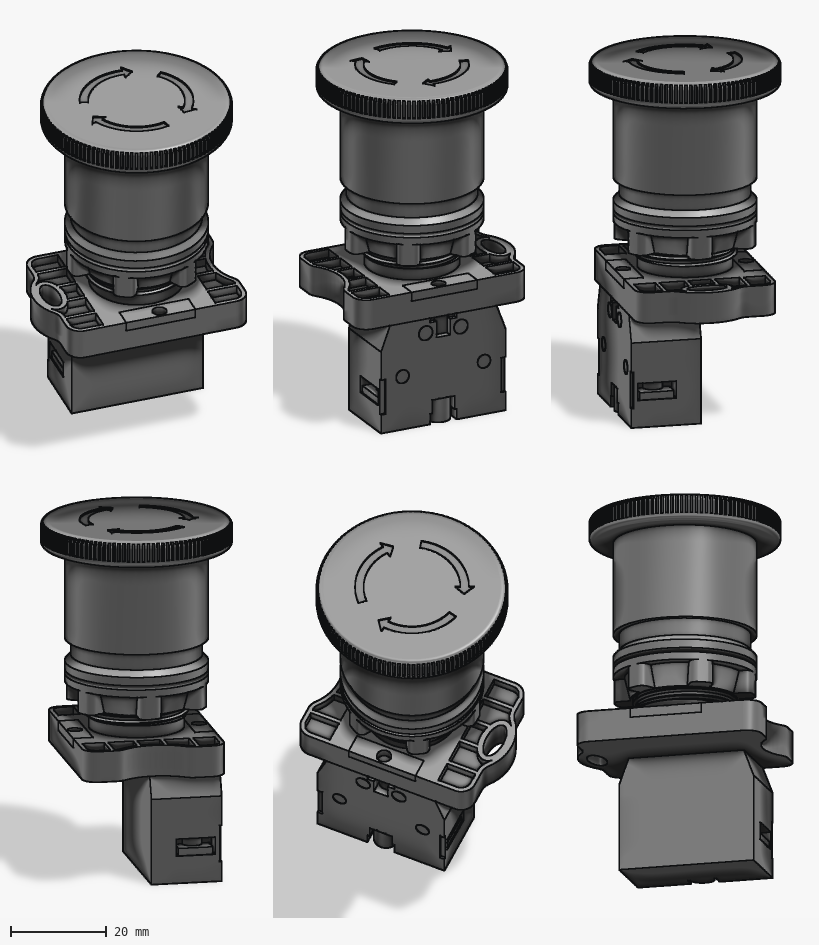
import cadquery as cq
import math


TOTAL_HEIGHT = 75.0
BLOCK_TOP = 23.9
FLANGE_TOP = 30.5
THREAD_BOTTOM = 33.1
NUT_BOTTOM = 35.6
NUT_RING_BOTTOM = 40.4
NUT_TOP = 42.0
COLLAR_BOTTOM = 42.9
COLLAR_EDGE_TOP = 44.7
COLLAR_TOP = 46.0
HEAD_BOTTOM = 49.6
CAP_BOTTOM = 69.4

BARREL_RADIUS = 15.0
CAP_RADIUS = 20.0
CAP_TOP_FILLET = 1.5
CAP_BOTTOM_FILLET = 1.1
KNURL_COUNT = 120
KNURL_GROOVE_DEPTH = 0.45
KNURL_GROOVE_WIDTH = 0.5
KNURL_BOTTOM = CAP_BOTTOM + 1.4
ARROW_COUNT = 3
ARROW_DEPTH = 0.3
ARROW_INNER_RADIUS = 10.1
ARROW_OUTER_RADIUS = 11.9
ARROW_HEAD_OVERHANG = 1.1
ARROW_TAIL_ANGLE = 135.0
ARROW_HEAD_BASE_ANGLE = 55.0
ARROW_TIP_ANGLE = 45.0

SPIGOT_RADIUS = 13.75
NECK_RADIUS = 10.9
CORE_RADIUS = 10.0
THREAD_PITCH = 1.5
THREAD_ROOT_RADIUS = 10.25
THREAD_RIDGE_WIDTH = 1.1
THREAD_ROOT_OVERLAP = 0.2
THREAD_START = THREAD_BOTTOM + 0.45

NUT_RADIUS = BARREL_RADIUS
NUT_CONE_TOP_RADIUS = 12.6
NUT_CONE_BOTTOM_RADIUS = 11.4
LUG_COUNT = 6
TRIM_RADIUS = NUT_RADIUS + 1.0
LUG_WIDTH = 4.8
LUG_NOSE_WIDTH = 2.1
LUG_FLANK_END = 13.5

FLANGE_HALF_WIDTH = 15.1
FLANGE_HALF_LENGTH = 19.85
FLANGE_CORNER_RADIUS = 3.15
EAR_RADIUS = 10.5
EAR_TIP = 22.82
EAR_HOLE_Y = -19.0
EAR_HOLE_HALF_WIDTH = 4.2
EAR_HOLE_HALF_HEIGHT = 1.9
EAR_HOLE_WALL = 1.3
FLANGE_WALL = 1.0
POCKET_DEPTH = 1.8
POCKET_INNER_Y = 12.4
RIB_THICKNESS = 0.9
INNER_RIB_X = 2.85
OUTER_RIB_X = 9.05

INSERT_LENGTH = 15.3
INSERT_WIDTH = 4.25
INSERT_THICKNESS = 2.0
INSERT_HOLE_DIAMETER = 3.0
INSERT_HOLE_X = 13.2
INSERT_HOLE_Y = 0.4

BLOCK_LEFT = -15.1
BLOCK_WIDTH = 15.0
BLOCK_LENGTH = 29.1
BLOCK_CENTRE_Y = 0.25
BLOCK_SLOPE_BOTTOM = 18.35
BLOCK_SLOPE_INSET = 2.1
DIMPLE_DEPTH = 0.1
UPPER_DIMPLES = {"diameter": 3.2, "offset": 4.1, "height": 20.7}
LOWER_DIMPLES = {"diameter": 3.0, "offset": 9.5, "height": 11.9}
EDGE_NOTCH_DEPTH_X = 0.5
EDGE_NOTCH_DEPTH_Y = 1.1
EDGE_NOTCH_BOTTOM = 4.2
EDGE_NOTCH_TOP = 12.0
MOUTH_WIDTH = 6.2
MOUTH_DEPTH = 1.0
UPPER_MOUTH_HEIGHT = 1.0
UPPER_SLOT_WIDTH = 3.2
UPPER_SLOT_BOTTOM = 19.3
UPPER_SLOT_DEPTH = 1.5
LOWER_MOUTH_HEIGHT = 2.4
LOWER_SLOT_WIDTH = 5.2
LOWER_SLOT_HEIGHT = 5.4
TERMINAL_X = -9.55
TERMINAL_WIDTH = 8.3
TERMINAL_BOTTOM = 5.85
TERMINAL_TOP = 9.55
TERMINAL_DEPTH = 4.0
TONGUE_TOP = 7.45
TONGUE_SETBACK = 0.25
TONGUE_SIDE_GAP = 0.5
TERMINAL_SCREW_RADIUS = 2.1


def box(x_min, x_max, y_min, y_max, z_min, z_max):
    size = (x_max - x_min, y_max - y_min, z_max - z_min)
    return cq.Workplane("XY").box(*size, centered=False).translate((x_min, y_min, z_min))


def cylinder(radius, bottom, top, x=0.0, y=0.0):
    return cq.Workplane("XY", origin=(x, y, bottom)).circle(radius).extrude(top - bottom)


def polar(radius, angle):
    return radius * math.cos(math.radians(angle)), radius * math.sin(math.radians(angle))


def make_arrow():
    """Curved clockwise arrow, as a cutter from the top face of the cap."""
    middle_angle = (ARROW_TAIL_ANGLE + ARROW_HEAD_BASE_ANGLE) / 2
    tip_radius = (ARROW_INNER_RADIUS + ARROW_OUTER_RADIUS) / 2
    return (
        cq.Workplane("XY", origin=(0, 0, TOTAL_HEIGHT))
        .moveTo(*polar(ARROW_OUTER_RADIUS, ARROW_TAIL_ANGLE))
        .threePointArc(
            polar(ARROW_OUTER_RADIUS, middle_angle), polar(ARROW_OUTER_RADIUS, ARROW_HEAD_BASE_ANGLE)
        )
        .lineTo(*polar(ARROW_OUTER_RADIUS + ARROW_HEAD_OVERHANG, ARROW_HEAD_BASE_ANGLE))
        .lineTo(*polar(tip_radius, ARROW_TIP_ANGLE))
        .lineTo(*polar(ARROW_INNER_RADIUS - ARROW_HEAD_OVERHANG, ARROW_HEAD_BASE_ANGLE))
        .lineTo(*polar(ARROW_INNER_RADIUS, ARROW_HEAD_BASE_ANGLE))
        .threePointArc(
            polar(ARROW_INNER_RADIUS, middle_angle), polar(ARROW_INNER_RADIUS, ARROW_TAIL_ANGLE)
        )
        .close()
        .extrude(-ARROW_DEPTH)
    )


def make_head():
    cap = cylinder(CAP_RADIUS, CAP_BOTTOM, TOTAL_HEIGHT)
    cap = cap.faces(">Z").edges().fillet(CAP_TOP_FILLET)
    cap = cap.faces("<Z").edges().fillet(CAP_BOTTOM_FILLET)
    grooves = (
        cq.Workplane("XY", origin=(0, 0, KNURL_BOTTOM))
        .polarArray(CAP_RADIUS, 180 / KNURL_COUNT, 360, KNURL_COUNT)
        .rect(2 * KNURL_GROOVE_DEPTH, KNURL_GROOVE_WIDTH)
        .extrude(TOTAL_HEIGHT - KNURL_BOTTOM)
    )
    cap = cap.cut(grooves)
    for index in range(ARROW_COUNT):
        turn = index * 360 / ARROW_COUNT
        cap = cap.cut(make_arrow().rotate((0, 0, 0), (0, 0, 1), turn))
    return cap.union(cylinder(BARREL_RADIUS, HEAD_BOTTOM, CAP_BOTTOM))


def make_thread():
    """Helical V ridge around the neck; it runs out at the bottom and ends inside the nut."""
    half_width = THREAD_RIDGE_WIDTH / 2
    root_radius = THREAD_ROOT_RADIUS - THREAD_ROOT_OVERLAP
    start = THREAD_START - THREAD_PITCH
    helix = cq.Wire.makeHelix(THREAD_PITCH, NUT_TOP - half_width - start, THREAD_ROOT_RADIUS)
    ridge = (
        cq.Workplane("XZ")
        .moveTo(root_radius, -half_width)
        .lineTo(NECK_RADIUS, 0)
        .lineTo(root_radius, half_width)
        .close()
        .sweep(cq.Workplane(helix), isFrenet=True)
        .translate((0, 0, start))
    )
    return ridge.intersect(cylinder(BARREL_RADIUS, THREAD_BOTTOM, NUT_TOP))


def make_housing():
    profile = [
        (0, FLANGE_TOP),
        (CORE_RADIUS, FLANGE_TOP),
        (CORE_RADIUS, THREAD_BOTTOM),
        (THREAD_ROOT_RADIUS, THREAD_BOTTOM),
        (THREAD_ROOT_RADIUS, NUT_TOP),
        (NECK_RADIUS, NUT_TOP),
        (NECK_RADIUS, COLLAR_BOTTOM),
        (BARREL_RADIUS, COLLAR_BOTTOM),
        (BARREL_RADIUS, COLLAR_EDGE_TOP),
        (SPIGOT_RADIUS, COLLAR_TOP),
        (SPIGOT_RADIUS, HEAD_BOTTOM),
        (0, HEAD_BOTTOM),
    ]
    turned = cq.Workplane("XZ").polyline(profile).close().revolve(360, (0, 0), (0, 1))
    return turned.union(make_thread())


def make_lug(index):
    """Lug with parallel flanks rounded at the nose; it runs past the ring, to be trimmed by it."""
    half_width = LUG_WIDTH / 2
    nose_y = LUG_NOSE_WIDTH / 2
    nose_x = math.sqrt(NUT_RADIUS**2 - nose_y**2)
    lug = (
        cq.Workplane("XY", origin=(0, 0, NUT_BOTTOM))
        .lineTo(0, half_width)
        .lineTo(LUG_FLANK_END, half_width)
        .tangentArcPoint((nose_x, nose_y), relative=False)
        .lineTo(TRIM_RADIUS, nose_y)
        .lineTo(TRIM_RADIUS, 0)
        .mirrorX()
        .extrude(NUT_RING_BOTTOM - NUT_BOTTOM)
    )
    return lug.rotate((0, 0, 0), (0, 0, 1), 90 + index * 360 / LUG_COUNT)


def make_nut():
    """Disc with the space around the skirt and between the lugs cut away."""
    profile = [
        (NUT_CONE_BOTTOM_RADIUS, NUT_BOTTOM),
        (NUT_CONE_TOP_RADIUS, NUT_RING_BOTTOM),
        (TRIM_RADIUS, NUT_RING_BOTTOM),
        (TRIM_RADIUS, NUT_BOTTOM),
    ]
    lug_gaps = cq.Workplane("XZ").polyline(profile).close().revolve(360, (0, 0), (0, 1))
    for index in range(LUG_COUNT):
        lug_gaps = lug_gaps.cut(make_lug(index))
    nut = cylinder(NUT_RADIUS, NUT_BOTTOM, NUT_TOP).cut(lug_gaps)
    return nut.cut(cylinder(NECK_RADIUS, NUT_BOTTOM, NUT_TOP))


def ear_wave(outline, edge_y, direction):
    """Blend, ear arc and blend, drawn from x = -direction * half width to the other side."""
    reach = EAR_TIP - FLANGE_HALF_LENGTH
    centre_gap = EAR_RADIUS + FLANGE_CORNER_RADIUS
    half_width = math.sqrt(centre_gap**2 - (centre_gap - reach) ** 2)
    sweep = math.asin(half_width / centre_gap)
    join_x = EAR_RADIUS * math.sin(sweep)
    join_y = edge_y - reach + EAR_RADIUS * (1 - math.cos(sweep))
    blend_x = half_width - FLANGE_CORNER_RADIUS * math.sin(sweep / 2)
    blend_y = edge_y - FLANGE_CORNER_RADIUS * (1 - math.cos(sweep / 2))
    return (
        outline.lineTo(-direction * half_width, edge_y)
        .threePointArc((-direction * blend_x, blend_y), (-direction * join_x, join_y))
        .threePointArc((0, edge_y - reach), (direction * join_x, join_y))
        .threePointArc((direction * blend_x, blend_y), (direction * half_width, edge_y))
    )


def flange_outline(base):
    x, y, r = FLANGE_HALF_WIDTH, FLANGE_HALF_LENGTH, FLANGE_CORNER_RADIUS
    outline = cq.Workplane("XY", origin=(0, 0, base)).moveTo(-x + r, -y)
    outline = ear_wave(outline, -y, 1)
    outline = outline.lineTo(x - r, -y).radiusArc((x, -y + r), -r)
    outline = outline.lineTo(x, y - r).radiusArc((x - r, y), -r)
    outline = ear_wave(outline, y, -1)
    outline = outline.lineTo(-x + r, y).radiusArc((-x, y - r), -r)
    return outline.lineTo(-x, -y + r).radiusArc((-x + r, -y), -r).close()


def ear_ellipse(wall, base):
    centre = cq.Workplane("XY", origin=(0, EAR_HOLE_Y, base))
    ellipse = centre.ellipse(EAR_HOLE_HALF_WIDTH + wall, EAR_HOLE_HALF_HEIGHT + wall)
    return ellipse.extrude(FLANGE_TOP - base)


def make_pockets():
    """Rows of pockets along both Y ends, divided by ribs, as a cutter."""
    floor = FLANGE_TOP - POCKET_DEPTH
    pockets = flange_outline(floor).offset2D(-FLANGE_WALL).extrude(POCKET_DEPTH)
    x = FLANGE_HALF_WIDTH
    pockets = pockets.cut(box(-x, x, -POCKET_INNER_Y, POCKET_INNER_Y, floor, FLANGE_TOP))
    for rib_x in (-OUTER_RIB_X, -INNER_RIB_X, INNER_RIB_X, OUTER_RIB_X):
        left, right = rib_x - RIB_THICKNESS / 2, rib_x + RIB_THICKNESS / 2
        pockets = pockets.cut(box(left, right, -EAR_TIP, EAR_TIP, floor, FLANGE_TOP))
    return pockets.cut(ear_ellipse(EAR_HOLE_WALL, floor))


def insert_blank(side):
    inner, outer = FLANGE_HALF_WIDTH - INSERT_WIDTH, FLANGE_HALF_WIDTH
    x_min, x_max = sorted((side * inner, side * outer))
    y = INSERT_LENGTH / 2
    return box(x_min, x_max, -y, y, FLANGE_TOP - INSERT_THICKNESS, FLANGE_TOP)


def make_flange():
    flange = flange_outline(BLOCK_TOP).extrude(FLANGE_TOP - BLOCK_TOP)
    flange = flange.cut(make_pockets()).cut(ear_ellipse(0, BLOCK_TOP))
    for side in (-1, 1):
        flange = flange.cut(insert_blank(side))
    return flange


def make_insert(side):
    floor = FLANGE_TOP - INSERT_THICKNESS
    hole_x = side * INSERT_HOLE_X
    hole = cylinder(INSERT_HOLE_DIAMETER / 2, floor, FLANGE_TOP, x=hole_x, y=INSERT_HOLE_Y)
    return insert_blank(side).cut(hole)


def block_body():
    half = BLOCK_LENGTH / 2
    profile = [
        (-half, 0),
        (half, 0),
        (half, BLOCK_SLOPE_BOTTOM),
        (half - BLOCK_SLOPE_INSET, BLOCK_TOP),
        (-half + BLOCK_SLOPE_INSET, BLOCK_TOP),
        (-half, BLOCK_SLOPE_BOTTOM),
    ]
    return cq.Workplane("YZ", origin=(BLOCK_LEFT, 0, 0)).polyline(profile).close().extrude(BLOCK_WIDTH)


def dimples(diameter, offset, height):
    centres = [(-offset, height), (offset, height)]
    face = cq.Workplane("YZ", origin=(BLOCK_LEFT, 0, 0))
    return face.pushPoints(centres).circle(diameter / 2).extrude(DIMPLE_DEPTH)


def recess(width, depth, bottom, top):
    return box(BLOCK_LEFT, BLOCK_LEFT + depth, -width / 2, width / 2, bottom, top)


def upper_slot():
    """Slot under the flange; one half of its back wall is rounded off into a deeper corner."""
    radius = UPPER_SLOT_WIDTH / 2
    back = BLOCK_LEFT + UPPER_SLOT_DEPTH
    slot = recess(UPPER_SLOT_WIDTH, UPPER_SLOT_DEPTH, UPPER_SLOT_BOTTOM, BLOCK_TOP)
    corner = box(back, back + radius, 0, radius, UPPER_SLOT_BOTTOM, BLOCK_TOP)
    corner = corner.cut(cylinder(radius, UPPER_SLOT_BOTTOM, BLOCK_TOP, x=back + radius))
    mouth = recess(MOUTH_WIDTH, MOUTH_DEPTH, BLOCK_TOP - UPPER_MOUTH_HEIGHT, BLOCK_TOP)
    return slot.union(corner).union(mouth)


def lower_slot():
    """Slot at the foot, around a half-round post that reaches the side face."""
    radius = LOWER_SLOT_WIDTH / 2
    slot = recess(LOWER_SLOT_WIDTH, radius, 0, LOWER_SLOT_HEIGHT)
    mouth = recess(MOUTH_WIDTH, radius, 0, LOWER_MOUTH_HEIGHT)
    return slot.union(mouth).cut(cylinder(radius, 0, LOWER_SLOT_HEIGHT, x=BLOCK_LEFT + radius))


def terminal():
    """Terminal opening in the -Y face, around a set-back tongue and a half-round screw."""
    face = -BLOCK_LENGTH / 2
    back = face + TERMINAL_DEPTH
    left, right = TERMINAL_X - TERMINAL_WIDTH / 2, TERMINAL_X + TERMINAL_WIDTH / 2
    opening = box(left, right, face, back, TERMINAL_BOTTOM, TERMINAL_TOP)
    tongue_left, tongue_right = left + TONGUE_SIDE_GAP, right - TONGUE_SIDE_GAP
    tongue_face = face + TONGUE_SETBACK
    tongue = box(tongue_left, tongue_right, tongue_face, back, TERMINAL_BOTTOM, TONGUE_TOP)
    screw = cylinder(TERMINAL_SCREW_RADIUS, TONGUE_TOP, TERMINAL_TOP, x=TERMINAL_X, y=back)
    return opening.cut(tongue).cut(screw)


def edge_notch():
    face = -BLOCK_LENGTH / 2
    return box(
        BLOCK_LEFT, BLOCK_LEFT + EDGE_NOTCH_DEPTH_X,
        face, face + EDGE_NOTCH_DEPTH_Y,
        EDGE_NOTCH_BOTTOM, EDGE_NOTCH_TOP,
    )


def make_block():
    block = block_body().cut(upper_slot()).cut(lower_slot())
    block = block.cut(dimples(**UPPER_DIMPLES)).cut(dimples(**LOWER_DIMPLES))
    for cutter in (terminal(), edge_notch()):
        block = block.cut(cutter).cut(cutter.mirror("XZ"))
    return block.translate((0, BLOCK_CENTRE_Y, 0))


head = make_head()
housing = make_housing()
nut = make_nut()
flange = make_flange()
inserts = [make_insert(side) for side in (-1, 1)]
block = make_block()

result = cq.Compound.makeCompound(
    [
        head.val(),
        housing.val(),
        nut.val(),
        flange.val(),
        *[insert.val() for insert in inserts],
        block.val(),
    ]
)